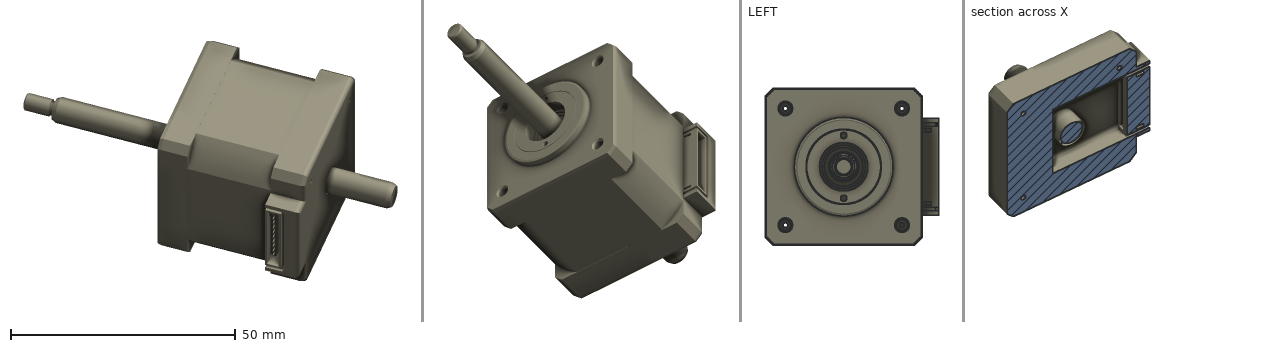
import cadquery as cq


EPS = 0.01

frame_size = 35.0
half_frame = frame_size / 2
plate_end = 7.15
cap_start = 26.8
cap_end = 34.8
corner_chamfer = 1.8
stator_size = 34.9
stator_diameter = 42.0
front_edge_depth = 0.88
front_edge_inset = 0.25
rear_edge_radius = 1.1

pilot_radius = 11.0
pilot_height = 1.84
pilot_rim_radius = 10.5
pilot_rim_drop = 0.1
seam_outer_radius = 8.4
seam_inner_radius = 8.25
seam_depth = 0.3
mouth_radius = 5.4
mouth_depth = 3.0
recess_radius = 4.85
recess_depth = 3.5
nut_seat_radius = 4.3
nut_seat_depth = 4.0
shaft_bore_radius = 3.3
spanner_hole_radius = 0.7
spanner_hole_offset = 7.0
spanner_hole_depth = 1.5

hole_pitch = 26.0
hole_mouth_radius = 1.6
thread_radius = 1.25
thread_depth = 4.5
bolt_bore_radius = 0.55
blind_bore_depth = 20.0

shaft_radius = 3.0
shaft_front = -37.2
shaft_rear = 49.8
journal_radius = 2.0
journal_length = 6.0
journal_bevel = 0.3
neck_radius = 1.65
neck_length = 0.9
shaft_bevel_length = 1.0
shaft_bevel_drop = 0.5
rib_width = 0.3
rib_start = 12.0
rib_end = 20.0

housing_reach = 21.2
housing_half_height = 10.85
opening_half_height = 9.82
opening_end = 31.2
opening_floor = 5.0
sleeve_radius = 3.5
opening_corner_radius = 0.8
shell_half_height = 9.05
shell_end = 30.5
shell_wall = 0.5
shell_front_wall = 0.45
shell_base = 15.0
gap_depth = 0.8
window_height = 0.75
window_reach = 19.5
terminal_end = 28.4
terminal_reach = 18.35
pin_count = 11
pin_pitch = 1.5
pin_height = 0.5
pin_thickness = 0.25
pin_inset = 0.25
pin_length = 1.0


def box(x_range, y_range, z_range):
    """Box between the two limits given along each axis."""
    size = [abs(end - start) for start, end in (x_range, y_range, z_range)]
    low = [min(limits) for limits in (x_range, y_range, z_range)]
    return cq.Workplane("XY").box(*size, centered=False).translate(tuple(low))


def rod(x_start, x_end, radius, y=0.0, z=0.0):
    """Cylinder along X."""
    return cq.Workplane("YZ", origin=(x_start, y, z)).circle(radius).extrude(x_end - x_start)


def square_block(x_start, x_end, size=frame_size):
    """Square bar centred on the shaft axis."""
    span = (-size / 2, size / 2)
    return box((x_start, x_end), span, span)


def make_front_plate():
    plate = square_block(0, plate_end).edges("|X").chamfer(corner_chamfer)
    return plate.faces("<X").chamfer(front_edge_inset, front_edge_depth)


def make_stator():
    block = square_block(plate_end - EPS, cap_start + EPS, stator_size)
    return block.intersect(rod(plate_end - EPS, cap_start + EPS, stator_diameter / 2))


def make_rear_cap():
    cap = square_block(cap_start, cap_end).edges("|X").chamfer(corner_chamfer)
    cap = cap.faces(">X").edges().fillet(rear_edge_radius)
    housing = box(
        (cap_start, cap_end),
        (-housing_reach, 0),
        (-housing_half_height, housing_half_height),
    )
    housing = housing.faces(">X").edges("<Y or >Z or <Z").fillet(rear_edge_radius)
    return cap.union(housing)


def make_pilot():
    profile = [
        (EPS, 0),
        (EPS, pilot_radius),
        (pilot_rim_drop - pilot_height, pilot_radius),
        (-pilot_height, pilot_rim_radius),
        (-pilot_height, 0),
    ]
    return cq.Workplane("XZ").polyline(profile).close().revolve(360, (0, 0), (1, 0))


def cut_pilot_details(body):
    face = -pilot_height
    body = body.cut(rod(face, cap_end, shaft_bore_radius))
    for radius, depth in (
        (mouth_radius, mouth_depth),
        (recess_radius, recess_depth),
        (nut_seat_radius, nut_seat_depth),
    ):
        body = body.cut(rod(face, face + depth, radius))
    seam = rod(face, face + seam_depth, seam_outer_radius)
    body = body.cut(seam.cut(rod(face, face + seam_depth, seam_inner_radius)))
    for side in (-1, 1):
        z = side * spanner_hole_offset
        body = body.cut(rod(face, face + spanner_hole_depth, spanner_hole_radius, z=z))
    return body


def cut_mounting_holes(body):
    mouth_bevel = hole_mouth_radius - thread_radius
    for y_side in (-1, 1):
        for z_side in (-1, 1):
            y = y_side * hole_pitch / 2
            z = z_side * hole_pitch / 2
            thread = rod(0, thread_depth, thread_radius, y, z)
            mouth = rod(0, mouth_bevel, hole_mouth_radius, y, z)
            mouth = mouth.faces(">X").chamfer(mouth_bevel - EPS)
            body = body.cut(thread).cut(mouth)
            is_blind = y_side < 0 and z_side < 0
            bore_end = blind_bore_depth if is_blind else cap_end
            body = body.cut(rod(0, bore_end, bolt_bore_radius, y, z))
    return body


def cut_connector_opening(body):
    """Opening through the housing wall to a chamber around the shaft sleeve."""
    opening = box(
        (cap_start, opening_end),
        (-housing_reach, opening_floor),
        (-opening_half_height, opening_half_height),
    )
    opening = opening.edges("|Y and >X").fillet(opening_corner_radius)
    return body.cut(opening.cut(rod(cap_start, opening_end, sleeve_radius)))


def make_connector():
    inner_half_height = shell_half_height - shell_wall
    inner_start = cap_start + shell_front_wall
    depth = (-housing_reach, -shell_base)

    shell = box((cap_start, shell_end), depth, (-shell_half_height, shell_half_height))
    cavity = box(
        (inner_start, shell_end - shell_wall), depth, (-inner_half_height, inner_half_height)
    )
    connector = shell.cut(cavity)
    terminal = box(
        (inner_start - EPS, terminal_end),
        (-terminal_reach, -shell_base),
        (-inner_half_height - EPS, inner_half_height + EPS),
    )
    for side in (-1, 1):
        window = box(
            (cap_start, inner_start),
            (-window_reach, -half_frame),
            (side * (inner_half_height - window_height), side * inner_half_height),
        )
        connector = connector.cut(window)
        bridge = box(
            (inner_start, shell_end),
            (gap_depth - housing_reach, -shell_base),
            (side * (shell_half_height - EPS), side * (opening_half_height + EPS)),
        )
        connector = connector.union(bridge)
    connector = connector.union(terminal)
    pin_end = terminal_end - pin_inset
    for index in range(pin_count):
        z = (index - (pin_count - 1) / 2) * pin_pitch
        pin = box(
            (pin_end - pin_thickness, pin_end),
            (-terminal_reach - pin_length, -shell_base),
            (z - pin_height / 2, z + pin_height / 2),
        )
        connector = connector.union(pin)
    return connector


def make_shaft():
    journal_end = shaft_front + journal_length
    shoulder = journal_end + neck_length
    bevel_radius = shaft_radius - shaft_bevel_drop
    profile = [
        (shaft_front, 0),
        (shaft_front, journal_radius - journal_bevel),
        (shaft_front + journal_bevel, journal_radius),
        (journal_end, journal_radius),
        (journal_end, neck_radius),
        (shoulder, neck_radius),
        (shoulder, bevel_radius),
        (shoulder + shaft_bevel_length, shaft_radius),
        (shaft_rear - shaft_bevel_length, shaft_radius),
        (shaft_rear, bevel_radius),
        (shaft_rear, 0),
    ]
    shaft = cq.Workplane("XZ").polyline(profile).close().revolve(360, (0, 0), (1, 0))
    reach = (-shaft_bore_radius - EPS, shaft_bore_radius + EPS)
    width = (-rib_width / 2, rib_width / 2)
    shaft = shaft.union(box((rib_start, rib_end), reach, width))
    return shaft.union(box((rib_start, rib_end), width, reach))


body = make_front_plate().union(make_stator()).union(make_rear_cap()).union(make_pilot())
body = cut_pilot_details(body)
body = cut_mounting_holes(body)
body = cut_connector_opening(body)
result = body.union(make_connector()).union(make_shaft())